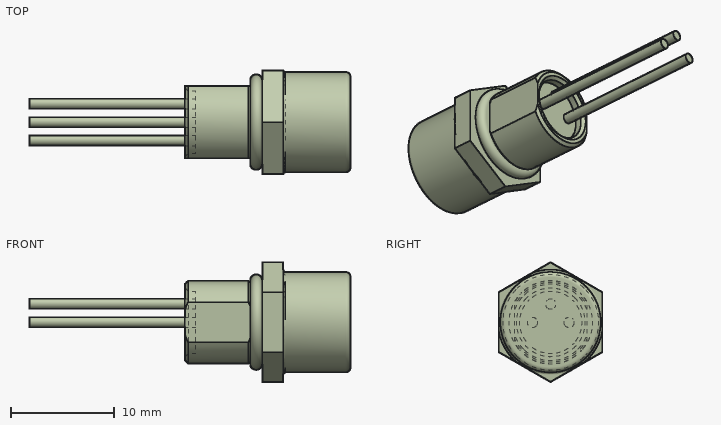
import cadquery as cq
import math

length = 31.0
body_start = 15.0
ring_start = 21.3
hex_start = 22.48
hex_end = 24.5

body_diameter = 8.0
flat_width = 7.0
edge_chamfer = 0.3
body_end_chamfer = 0.15

opening_diameter = 6.0
opening_depth = 1.0

ring_flat_diameter = 8.05
hex_across_flats = 10.0
sleeve_diameter = 9.7
sleeve_tip_fillet = 0.5
sleeve_root_fillet = 0.22

wire_diameter = 1.0
wire_offset = 1.77
wire_positions = [(wire_offset, 0), (-wire_offset, 0), (0, wire_offset)]


def x_plane(x):
    """Plane across the axis at x, with local axes along Y and Z."""
    return cq.Plane(origin=(x, 0, 0), xDir=(0, 1, 0), normal=(1, 0, 0))


def revolve_about_x(profile):
    """Turn an XY profile (X along the axis, Y as radius) about the X axis."""
    return profile.close().revolve(360, (0, 0, 0), (1, 0, 0))


def make_rear_body():
    body = cq.Workplane(x_plane(body_start)).circle(body_diameter / 2).extrude(ring_start - body_start)
    body = body.faces("<X").chamfer(edge_chamfer)
    body = body.faces(">X").chamfer(body_end_chamfer)
    flats = cq.Workplane(x_plane(body_start)).rect(flat_width, body_diameter).extrude(ring_start - body_start)
    body = body.intersect(flats)
    opening = cq.Workplane(x_plane(body_start)).circle(opening_diameter / 2).extrude(opening_depth)
    mouth = (
        cq.Workplane(x_plane(body_start))
        .circle(opening_diameter / 2 + edge_chamfer)
        .workplane(offset=edge_chamfer)
        .circle(opening_diameter / 2)
        .loft()
    )
    return body.cut(opening).cut(mouth)


def make_sealing_ring():
    """Disc whose rim is a half round."""
    flat_radius = ring_flat_diameter / 2
    rim_radius = (hex_start - ring_start) / 2
    return revolve_about_x(
        cq.Workplane("XY")
        .moveTo(ring_start, 0)
        .lineTo(ring_start, flat_radius)
        .threePointArc((ring_start + rim_radius, flat_radius + rim_radius), (hex_start, flat_radius))
        .lineTo(hex_start, 0)
    )


def make_hexagon(end):
    """Hexagonal prism from hex_start to end, with its corners up and down."""
    across_corners = hex_across_flats / math.cos(math.pi / 6)
    hexagon = cq.Workplane(x_plane(hex_start)).polygon(6, across_corners).extrude(end - hex_start)
    return hexagon.rotate((0, 0, 0), (1, 0, 0), 90)


def make_sleeve():
    """Round sleeve with a rounded tip and a root fillet, which the hexagon's flats trim."""
    radius = sleeve_diameter / 2
    sleeve = revolve_about_x(
        cq.Workplane("XY")
        .moveTo(hex_end, 0)
        .lineTo(hex_end, radius + sleeve_root_fillet)
        .radiusArc((hex_end + sleeve_root_fillet, radius), -sleeve_root_fillet)
        .lineTo(length - sleeve_tip_fillet, radius)
        .radiusArc((length, radius - sleeve_tip_fillet), sleeve_tip_fillet)
        .lineTo(length, 0)
    )
    return sleeve.intersect(make_hexagon(length))


def make_wires():
    wire_length = body_start + opening_depth
    return cq.Workplane(x_plane(0)).pushPoints(wire_positions).circle(wire_diameter / 2).extrude(wire_length)


result = (
    make_rear_body()
    .union(make_sealing_ring())
    .union(make_hexagon(hex_end))
    .union(make_sleeve())
    .union(make_wires())
)